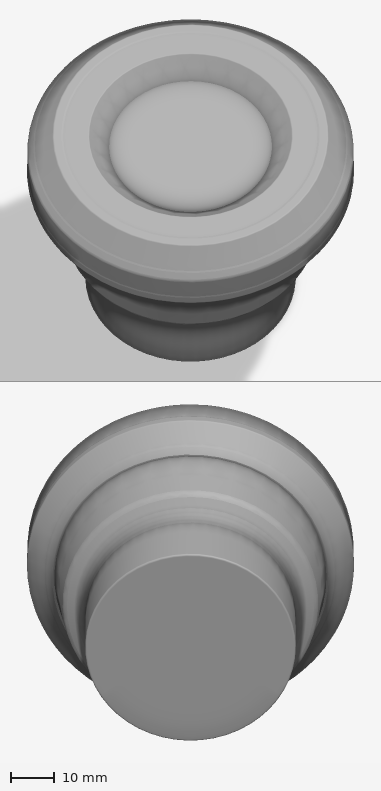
import cadquery as cq
import math

height = 55.0
cap_radius = 37.5
cap_bottom = 35.0
step_rise = 0.1
step_width = 0.45
top_step_radius = 29.2
top_edge_radius = 31.5
upper_step_z = 50.8
side_step_z = 43.3
lower_corner_z = 40.9
lower_step_z = 36.8
top_edge_fillet = 0.5
upper_corner_fillet = 1.0
lower_corner_fillet = 0.6

dish_radius = 23.3
dish_floor_radius = 18.7
dish_depth = 4.35
dish_rim_fillet = 0.45
dish_floor_z = height - step_rise - dish_depth

neck_top_radius = 31.2
neck_bottom_radius = 29.2
neck_bottom_z = 21.0
shoulder_angle = 30.0
shoulder_fillet = 2.0
foot_radius = 24.15
foot_fillet = 4.0
foot_edge_fillet = 0.45

notch_bottom = 5.0
notch_height = 3.8
notch_depth = 0.6


def revolve(points):
    """Turn an outline of (radius, z) points about the Z axis."""
    return cq.Workplane("XZ").polyline(points).close().revolve(360, (0, 0), (0, 1))


def round_rim(body, radius, z, fillet):
    """Round the circular edge with the given radius and height."""
    tolerance = 0.01

    def is_rim(edge):
        box = edge.BoundingBox()
        at_height = abs(box.zmin - z) < tolerance and abs(box.zmax - z) < tolerance
        return at_height and abs(edge.radius() - radius) < tolerance

    rims = [edge for edge in body.edges("%CIRCLE").vals() if is_rim(edge)]
    return body.newObject(rims).fillet(fillet)


def make_cap():
    upper_radius = top_edge_radius + height - upper_step_z
    ramp_radius = upper_radius + step_width * math.sqrt(0.5) + step_rise / 2
    ramp_z = upper_step_z - step_width * math.sqrt(0.5) + step_rise / 2
    side_radius = cap_radius - step_rise
    upper_corner_z = ramp_z - (side_radius - ramp_radius)
    lower_radius = cap_radius - (lower_corner_z - lower_step_z)
    lower_ramp_z = lower_step_z - step_width
    lower_ramp_radius = lower_radius - step_width + step_rise
    bottom_radius = lower_ramp_radius - (lower_ramp_z - cap_bottom)
    rim_z = height - step_rise

    cap = revolve([
        (dish_floor_radius, cap_bottom),
        (dish_floor_radius, dish_floor_z),
        (dish_radius, rim_z),
        (top_step_radius, rim_z),
        (top_step_radius + step_width, height),
        (top_edge_radius, height),
        (upper_radius, upper_step_z),
        (ramp_radius, ramp_z),
        (side_radius, upper_corner_z),
        (side_radius, side_step_z),
        (cap_radius, side_step_z - step_width),
        (cap_radius, lower_corner_z),
        (lower_radius, lower_step_z),
        (lower_ramp_radius, lower_ramp_z),
        (bottom_radius, cap_bottom),
    ])
    cap = round_rim(cap, dish_radius, rim_z, dish_rim_fillet)
    cap = round_rim(cap, top_edge_radius, height, top_edge_fillet)
    cap = round_rim(cap, side_radius, upper_corner_z, upper_corner_fillet)
    return round_rim(cap, cap_radius, lower_corner_z, lower_corner_fillet)


def cut_notch(stem):
    flat_y = foot_radius - notch_depth
    cutter = (
        cq.Workplane("XY", origin=(0, flat_y, notch_bottom))
        .box(2 * foot_radius, foot_radius, notch_height, centered=(True, False, False))
    )
    return stem.cut(cutter)


def make_stem():
    shoulder_drop = (neck_bottom_radius - foot_radius) * math.tan(math.radians(shoulder_angle))
    foot_top = neck_bottom_z - shoulder_drop
    stem = revolve([
        (0, 0),
        (foot_radius, 0),
        (foot_radius, foot_top),
        (neck_bottom_radius, neck_bottom_z),
        (neck_top_radius, cap_bottom),
        (dish_floor_radius, cap_bottom),
        (dish_floor_radius, dish_floor_z),
        (0, dish_floor_z),
    ])
    stem = round_rim(stem, foot_radius, 0, foot_edge_fillet)
    stem = round_rim(stem, foot_radius, foot_top, foot_fillet)
    stem = round_rim(stem, neck_bottom_radius, neck_bottom_z, shoulder_fillet)
    return cut_notch(stem)


cap = make_cap()
stem = make_stem()
result = cq.Compound.makeCompound([cap.solids().val(), stem.solids().val()])